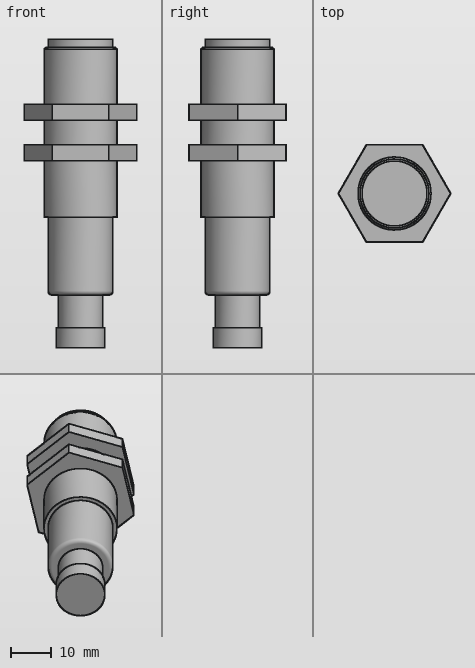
import cadquery as cq
import math

total_height = 76.0

plug_diameter = 12.0
plug_height = 5.0

neck_diameter = 11.0
neck_height = 8.0

sleeve_diameter = 16.0
sleeve_height = 19.2
sleeve_fillet = 1.0

barrel_diameter = 18.0
barrel_chamfer = 0.5

cap_diameter = 16.0
cap_height = 2.0

nut_sides = 6
nut_across_flats = 24.0
nut_thickness = 4.0
nut_spacing = 10.0
upper_nut_depth = 16.0

neck_base = plug_height
sleeve_base = neck_base + neck_height
barrel_base = sleeve_base + sleeve_height
cap_base = total_height - cap_height
barrel_height = cap_base - barrel_base
nut_across_corners = nut_across_flats / math.cos(math.pi / nut_sides)
upper_nut_base = total_height - upper_nut_depth - nut_thickness
nut_bases = [upper_nut_base, upper_nut_base - nut_spacing]


def cylinder(diameter, base, height):
    """Cylinder on the Z axis, standing on the level `base`."""
    return cq.Workplane("XY").workplane(offset=base).circle(diameter / 2).extrude(height)


def sleeve():
    """Smooth rear housing with a rounded lower edge."""
    return cylinder(sleeve_diameter, sleeve_base, sleeve_height).faces("<Z").edges().fillet(sleeve_fillet)


def barrel():
    """Mounting barrel with a chamfered front edge."""
    return cylinder(barrel_diameter, barrel_base, barrel_height).faces(">Z").edges().chamfer(barrel_chamfer)


def nut(base):
    """Solid hexagon with its corners pointing along X."""
    return cq.Workplane("XY").workplane(offset=base).polygon(nut_sides, nut_across_corners).extrude(nut_thickness)


result = (
    cylinder(plug_diameter, 0, plug_height)
    .union(cylinder(neck_diameter, neck_base, neck_height))
    .union(sleeve())
    .union(barrel())
    .union(cylinder(cap_diameter, cap_base, cap_height))
)
for nut_base in nut_bases:
    result = result.union(nut(nut_base))